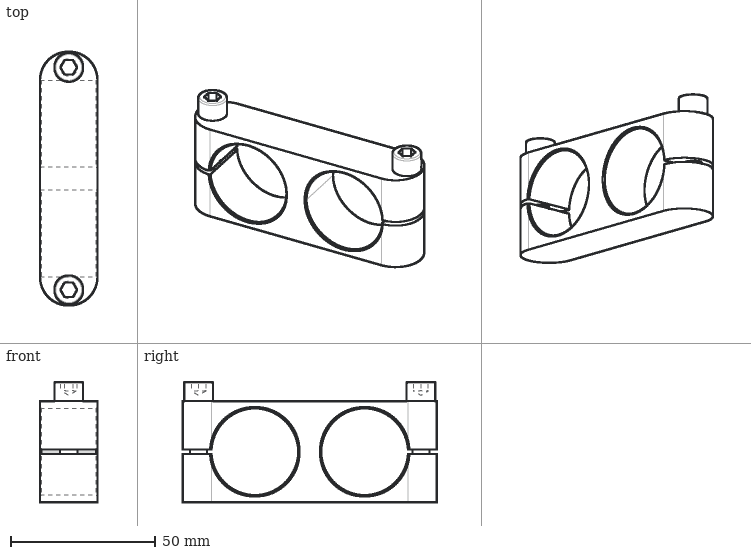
import cadquery as cq
import math

length = 88.0
width = 20.0
body_height = 35.0
mid_height = body_height / 2

bore_diameter = 30.0
bore_spacing = 38.0
bore_chamfer = 0.5
clamp_gap = 1.5

screw_spacing = 77.0
shank_diameter = 6.0
head_diameter = 10.0
head_height = 6.7
head_rounding = 0.5
socket_across_flats = 5.0
socket_depth = 3.0
socket_tip_angle = 120.0


def make_body():
    """Upright bar with fully rounded ends."""
    return cq.Workplane("XY").slot2D(length, width, 90).extrude(body_height)


def make_bore(y):
    """Cutter for a bore along X, flared by the chamfer at both faces."""
    bore_radius = bore_diameter / 2
    mouth_radius = bore_radius + bore_chamfer
    half_width = width / 2
    return (
        cq.Workplane("XY")
        .moveTo(-half_width, 0)
        .lineTo(-half_width, mouth_radius)
        .lineTo(-half_width + bore_chamfer, bore_radius)
        .lineTo(half_width - bore_chamfer, bore_radius)
        .lineTo(half_width, mouth_radius)
        .lineTo(half_width, 0)
        .close()
        .revolve(360, (0, 0, 0), (1, 0, 0))
        .translate((0, y, mid_height))
    )


def make_gap(side):
    """Cutter for the slit from a bore centre out through the body end."""
    inner_y = bore_spacing / 2
    gap_length = length / 2 - inner_y
    return (
        cq.Workplane("XY")
        .box(width, gap_length, clamp_gap)
        .translate((0, side * (inner_y + gap_length / 2), mid_height))
    )


def make_socket():
    """Hexagonal socket cutter with a conical bottom, its mouth at Z = 0."""
    corner_diameter = socket_across_flats / math.cos(math.radians(30))
    corner_radius = corner_diameter / 2
    tip_depth = corner_radius / math.tan(math.radians(socket_tip_angle / 2))
    total_depth = socket_depth + tip_depth
    hexagon = cq.Workplane("XY").polygon(6, corner_diameter).extrude(-total_depth)
    pointed_envelope = (
        cq.Workplane("XZ")
        .lineTo(corner_radius, 0)
        .lineTo(corner_radius, -socket_depth)
        .lineTo(0, -total_depth)
        .close()
        .revolve(360, (0, 0, 0), (0, 1, 0))
    )
    return hexagon.intersect(pointed_envelope)


def make_screw(y):
    """Screw head on the top face, with its shank reaching below the slit."""
    head = (
        cq.Workplane("XY")
        .circle(head_diameter / 2)
        .extrude(head_height)
        .faces(">Z")
        .edges()
        .fillet(head_rounding)
        .cut(make_socket().translate((0, 0, head_height)))
    )
    shank_length = mid_height + clamp_gap
    shank = cq.Workplane("XY").circle(shank_diameter / 2).extrude(-shank_length)
    return head.union(shank).translate((0, y, body_height))


result = make_body()
for side in (-1, 1):
    result = result.cut(make_bore(side * bore_spacing / 2))
    result = result.cut(make_gap(side))
for side in (-1, 1):
    result = result.union(make_screw(side * screw_spacing / 2))